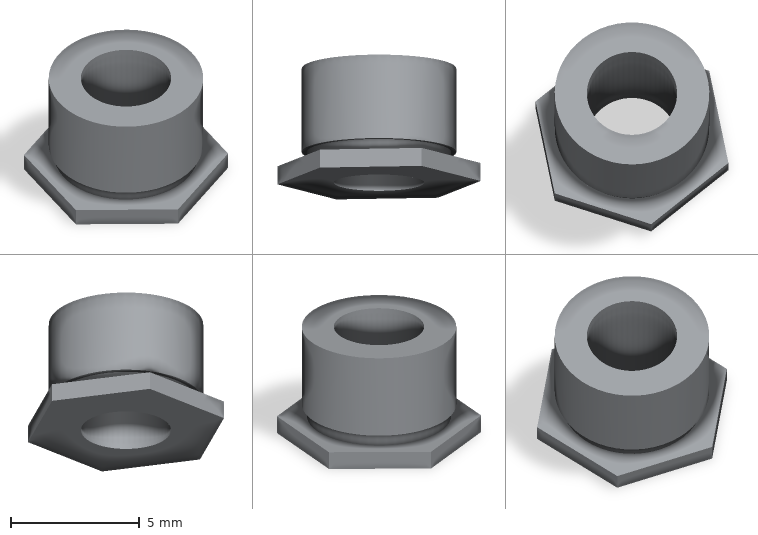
import cadquery as cq
import math

total_height = 4.5
hex_across_flats = 6.86
hex_thickness = 0.71
neck_diameter = 5.6
neck_height = 0.5
body_diameter = 6.0
bore_diameter = 3.5

hex_across_corners = hex_across_flats / math.cos(math.radians(30))
neck_top = hex_thickness + neck_height
body_height = total_height - neck_top


def make_hex_flange():
    """Hexagonal base plate with its corners on the X axis."""
    return cq.Workplane("XY").polygon(6, hex_across_corners).extrude(hex_thickness)


def make_cylinder(diameter, bottom, height):
    """Upright cylinder on the part axis, starting at the given height."""
    return cq.Workplane("XY").workplane(offset=bottom).circle(diameter / 2).extrude(height)


flange = make_hex_flange()
neck = make_cylinder(neck_diameter, hex_thickness, neck_height)
body = make_cylinder(body_diameter, neck_top, body_height)
bore = make_cylinder(bore_diameter, 0, total_height)

result = flange.union(neck).union(body).cut(bore)